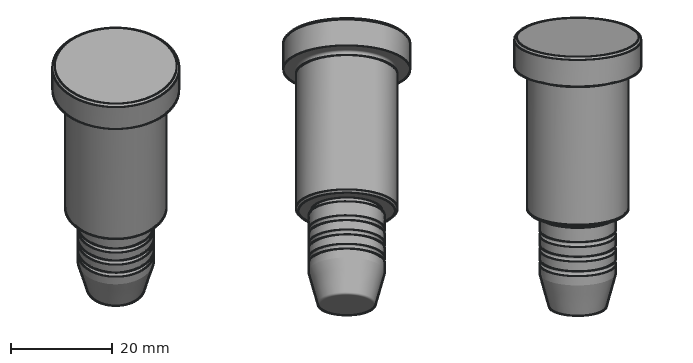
import cadquery as cq
import math

total_length = 56.0
edge_chamfer = 0.5

head_radius = 25.0 / 2
head_height = 6.0
shank_radius = 20.0 / 2
shank_end_depth = 36.0

groove_radius = 0.5
stem_radius = 15.0 / 2
neck_radius = stem_radius - groove_radius
neck_length = 1.0
first_groove_depth = 40.0
groove_pitch = 3.0
groove_count = 3

taper_length = 7.0
taper_angle = 15.0
tip_round = 0.5

head_bottom = total_length - head_height
shank_bottom = total_length - shank_end_depth
stem_top = shank_bottom - neck_length
tip_radius = stem_radius - taper_length * math.tan(math.radians(taper_angle))


def cut_groove(profile, radius, top):
    """Extend the profile downward through a half-round groove."""
    profile = profile.lineTo(radius, top)
    middle = (radius - groove_radius, top - groove_radius)
    return profile.threePointArc(middle, (radius, top - 2 * groove_radius))


profile = (
    cq.Workplane("XZ")
    .moveTo(0, total_length)
    .lineTo(head_radius - edge_chamfer, total_length)
    .lineTo(head_radius, total_length - edge_chamfer)
    .lineTo(head_radius, head_bottom)
)

profile = cut_groove(profile, shank_radius, head_bottom)
profile = (
    profile.lineTo(shank_radius, shank_bottom + edge_chamfer)
    .lineTo(shank_radius - edge_chamfer, shank_bottom)
    .lineTo(neck_radius, shank_bottom)
    .lineTo(neck_radius, stem_top)
    .lineTo(stem_radius, stem_top)
)

for index in range(groove_count):
    groove_top = total_length - first_groove_depth - index * groove_pitch
    profile = cut_groove(profile, stem_radius, groove_top)

profile = profile.lineTo(stem_radius, taper_length).lineTo(tip_radius, 0).lineTo(0, 0).close()

pin = profile.revolve(360, (0, 0, 0), (0, 1, 0))
result = pin.faces("<Z").edges().fillet(tip_round)